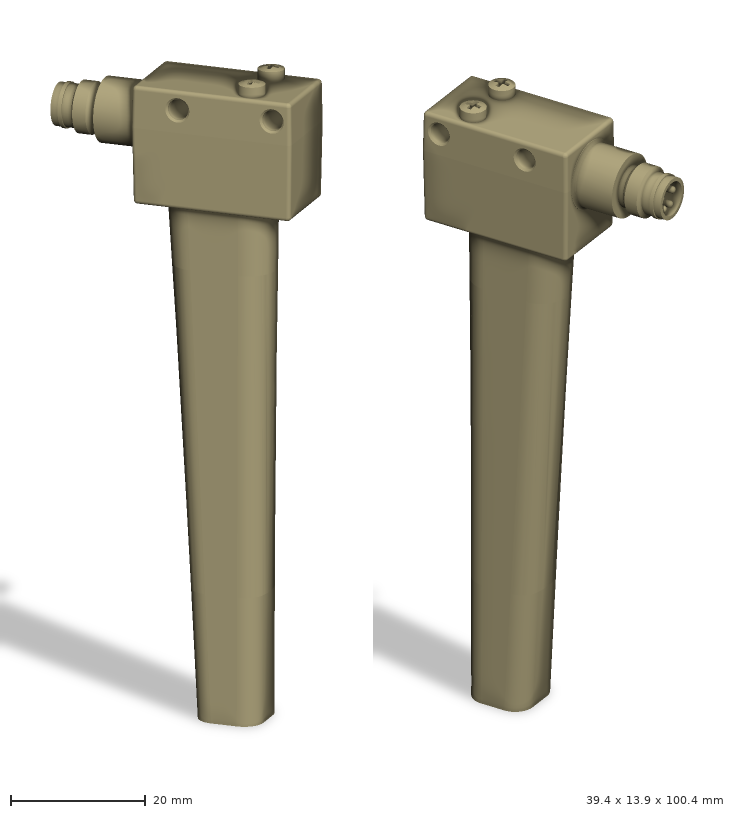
import cadquery as cq
import math


TOTAL_HEIGHT = 100.4

HOUSING_LENGTH = 25.3
HOUSING_WIDTH = 13.9
HOUSING_BOTTOM = 80.1
HOUSING_TOP = 98.4
PARTING_HEIGHT = 92.0
DRAFT_ANGLE = 1.0
HOUSING_FILLET = 0.6

HOLE_DIAMETER = 3.2
HOLE_CHAMFER = 0.3
HOLE_HEIGHT = 95.5
FIRST_HOLE_X = 7.3
HOLE_SPACING = 15.0

SCREW_X = 18.1
SCREW_SPACING = 8.0
SCREW_DIAMETER = 4.0
SCREW_DOME_RADIUS = 5.0
SLOT_LENGTH = 2.5
SLOT_WIDTH = 0.7
SLOT_DEPTH = 0.9

COLLAR_DIAMETER = 10.0
COLLAR_LENGTH = 6.7
COLLAR_FILLET = 0.5

ARM_LENGTH = HOUSING_BOTTOM
ARM_SECTION_HEIGHTS = (0.0, 20.0, 70.0, ARM_LENGTH)
ARM_TOP_WIDTH = 8.9
ARM_END_WIDTH = 10.1
ARM_TOP_FRONT_X = 3.5
ARM_END_FRONT_X = 8.9
ARM_BACK_FLAT_END_X = 16.1
ARM_END_FACE_WIDTH = 4.0
ARM_TOP_FACE_ANGLE = 45.0

PLUG_LENGTH = 7.4
PLUG_RADIUS = 3.3
RIDGE_RADIUS = 3.5
RIDGE_OFFSET = 1.2
RIDGE_LENGTH = 0.6
RING_RADIUS = 4.0
RING_OFFSET = 3.3
RING_LENGTH = 3.2
RING_FRONT_LENGTH = 0.4
RING_BACK_LENGTH = RING_RADIUS - PLUG_RADIUS
SOCKET_DIAMETER = 5.4
SOCKET_DEPTH = 3.0
PIN_DIAMETER = 1.1
PIN_SETBACK = 0.5
PIN_TIP_FILLET = 0.5
UPPER_PIN_Y = 1.6
UPPER_PIN_RISE = 0.5
LOWER_PIN_Y = 0.9
LOWER_PIN_DROP = 1.6


def housing_half(height, end_face):
    """Half of the block, standing on the parting plane and narrowing away from it."""
    return (
        cq.Workplane("XY")
        .workplane(offset=PARTING_HEIGHT)
        .center(HOUSING_LENGTH / 2, 0)
        .rect(HOUSING_LENGTH, HOUSING_WIDTH)
        .extrude(height, taper=DRAFT_ANGLE)
        .edges("not(#Z)")
        .fillet(HOUSING_FILLET)
        .faces(end_face)
        .edges()
        .fillet(HOUSING_FILLET)
    )


def housing_block():
    upper_half = housing_half(HOUSING_TOP - PARTING_HEIGHT, ">Z")
    lower_half = housing_half(HOUSING_BOTTOM - PARTING_HEIGHT, "<Z")
    return upper_half.union(lower_half)


def collar():
    """Round collar with a fillet flaring out onto the housing face and its root inside the housing."""
    radius = COLLAR_DIAMETER / 2
    embedded_x = HOUSING_FILLET
    fillet_middle = COLLAR_FILLET * (1 - math.cos(math.pi / 4))
    return (
        cq.Workplane("XZ", origin=(0, 0, PARTING_HEIGHT))
        .moveTo(-COLLAR_LENGTH, 0)
        .lineTo(-COLLAR_LENGTH, radius)
        .lineTo(-COLLAR_FILLET, radius)
        .threePointArc((-fillet_middle, radius + fillet_middle), (0, radius + COLLAR_FILLET))
        .lineTo(embedded_x, radius + COLLAR_FILLET)
        .lineTo(embedded_x, 0)
        .close()
        .revolve(360, (0, 0, 0), (1, 0, 0))
    )


def cross_hole(x):
    """Cutter for a hole along Y, chamfered at both side faces."""
    bore_radius = HOLE_DIAMETER / 2
    mouth_radius = bore_radius + HOLE_CHAMFER
    draft_setback = (HOLE_HEIGHT - PARTING_HEIGHT) * math.tan(math.radians(DRAFT_ANGLE))
    face_y = HOUSING_WIDTH / 2 - draft_setback
    outside_y = HOUSING_WIDTH / 2
    return (
        cq.Workplane("XY", origin=(x, 0, HOLE_HEIGHT))
        .moveTo(0, -outside_y)
        .lineTo(mouth_radius, -outside_y)
        .lineTo(mouth_radius, -face_y)
        .lineTo(bore_radius, HOLE_CHAMFER - face_y)
        .lineTo(bore_radius, face_y - HOLE_CHAMFER)
        .lineTo(mouth_radius, face_y)
        .lineTo(mouth_radius, outside_y)
        .lineTo(0, outside_y)
        .close()
        .revolve(360, (0, 0, 0), (0, 1, 0))
    )


def screw_head(y):
    """Domed head; its highest points are the inner corners left by the cross slot."""
    radius = SCREW_DIAMETER / 2
    slot_corner_radius = SLOT_WIDTH / math.sqrt(2)
    dome_center_z = TOTAL_HEIGHT - math.sqrt(SCREW_DOME_RADIUS**2 - slot_corner_radius**2)
    head = (
        cq.Workplane("XY", origin=(SCREW_X, y, HOUSING_TOP))
        .circle(radius)
        .extrude(SCREW_DOME_RADIUS)
        .intersect(cq.Workplane("XY", origin=(SCREW_X, y, dome_center_z)).sphere(SCREW_DOME_RADIUS))
    )
    slot_plane = cq.Workplane("XY", origin=(SCREW_X, y, TOTAL_HEIGHT - SLOT_DEPTH))
    slot_along_x = slot_plane.rect(SLOT_LENGTH, SLOT_WIDTH).extrude(SCREW_DOME_RADIUS)
    slot_along_y = slot_plane.rect(SLOT_WIDTH, SLOT_LENGTH).extrude(SCREW_DOME_RADIUS)
    return head.cut(slot_along_x.union(slot_along_y))


def arm_section(height):
    """Closed arm outline: front and back faces, round corners and two flat sides."""
    rise = height / ARM_LENGTH

    def blend(end_value, top_value):
        return end_value + (top_value - end_value) * rise

    half_width = blend(ARM_END_WIDTH, ARM_TOP_WIDTH) / 2
    top_face_width = ARM_TOP_WIDTH * math.sin(math.radians(ARM_TOP_FACE_ANGLE))
    face_half = blend(ARM_END_FACE_WIDTH, top_face_width) / 2
    face_angle = math.radians(ARM_TOP_FACE_ANGLE) * rise
    front_x = blend(ARM_END_FRONT_X, ARM_TOP_FRONT_X)

    sagitta = face_half * math.tan(face_angle / 2)
    corner_radius = (half_width - face_half) / (1 - math.sin(face_angle))
    corner_length = corner_radius * math.cos(face_angle)
    middle_angle = (face_angle + math.pi / 2) / 2
    corner_middle_x = corner_radius * math.cos(middle_angle)
    corner_middle_y = half_width - corner_radius * (1 - math.sin(middle_angle))
    flat_front_x = front_x + sagitta + corner_length
    flat_back_x = ARM_BACK_FLAT_END_X
    back_face_x = flat_back_x + corner_length

    def face_across(outline, bulge_x, edge_x, end_y):
        if sagitta > 0:
            return outline.threePointArc((bulge_x, 0), (edge_x, end_y))
        return outline.lineTo(edge_x, end_y)

    outline = (
        cq.Workplane("XY", origin=(0, 0, height))
        .moveTo(flat_front_x, -half_width)
        .lineTo(flat_back_x, -half_width)
        .threePointArc((flat_back_x + corner_middle_x, -corner_middle_y), (back_face_x, -face_half))
    )
    outline = face_across(outline, back_face_x + sagitta, back_face_x, face_half)
    outline = (
        outline
        .threePointArc((flat_back_x + corner_middle_x, corner_middle_y), (flat_back_x, half_width))
        .lineTo(flat_front_x, half_width)
        .threePointArc((flat_front_x - corner_middle_x, corner_middle_y), (front_x + sagitta, face_half))
    )
    outline = face_across(outline, front_x, front_x + sagitta, -face_half)
    outline = outline.threePointArc(
        (flat_front_x - corner_middle_x, -corner_middle_y), (flat_front_x, -half_width)
    )
    return outline.wire().val()


def arm():
    sections = [arm_section(height) for height in ARM_SECTION_HEIGHTS]
    return cq.Workplane(cq.Solid.makeLoft(sections, True))


def make_housing():
    """Housing with its collar, screw heads and arm, all one solid."""
    body = housing_block().union(collar())
    for hole_x in (FIRST_HOLE_X, FIRST_HOLE_X + HOLE_SPACING):
        body = body.cut(cross_hole(hole_x))
    for side in (-1, 1):
        body = body.union(screw_head(side * SCREW_SPACING / 2))
    return body.union(arm())


def plug_shell():
    """Turned plug with a snap ridge and a cone-sided ring, hollowed from its tip."""
    tip_x = -COLLAR_LENGTH - PLUG_LENGTH
    ridge_x = tip_x + RIDGE_OFFSET
    ring_x = tip_x + RING_OFFSET
    ring_end_x = ring_x + RING_LENGTH
    shell = (
        cq.Workplane("XZ", origin=(0, 0, PARTING_HEIGHT))
        .moveTo(tip_x, 0)
        .lineTo(tip_x, PLUG_RADIUS)
        .lineTo(ridge_x, PLUG_RADIUS)
        .lineTo(ridge_x, RIDGE_RADIUS)
        .lineTo(ridge_x + RIDGE_LENGTH, RIDGE_RADIUS)
        .lineTo(ridge_x + RIDGE_LENGTH, PLUG_RADIUS)
        .lineTo(ring_x, PLUG_RADIUS)
        .lineTo(ring_x + RING_FRONT_LENGTH, RING_RADIUS)
        .lineTo(ring_end_x - RING_BACK_LENGTH, RING_RADIUS)
        .lineTo(ring_end_x, PLUG_RADIUS)
        .lineTo(-COLLAR_LENGTH, PLUG_RADIUS)
        .lineTo(-COLLAR_LENGTH, 0)
        .close()
        .revolve(360, (0, 0, 0), (1, 0, 0))
    )
    socket = (
        cq.Workplane("YZ", origin=(tip_x, 0, PARTING_HEIGHT))
        .circle(SOCKET_DIAMETER / 2)
        .extrude(SOCKET_DEPTH)
    )
    return shell.cut(socket)


def contact_pins():
    """Four round-tipped pins standing on the socket floor."""
    floor_x = -COLLAR_LENGTH - PLUG_LENGTH + SOCKET_DEPTH
    pin_places = [
        (-UPPER_PIN_Y, UPPER_PIN_RISE),
        (UPPER_PIN_Y, UPPER_PIN_RISE),
        (-LOWER_PIN_Y, -LOWER_PIN_DROP),
        (LOWER_PIN_Y, -LOWER_PIN_DROP),
    ]
    return (
        cq.Workplane("YZ", origin=(floor_x, 0, PARTING_HEIGHT))
        .pushPoints(pin_places)
        .circle(PIN_DIAMETER / 2)
        .extrude(PIN_SETBACK - SOCKET_DEPTH)
        .faces("<X")
        .edges()
        .fillet(PIN_TIP_FILLET)
    )


def make_connector():
    return plug_shell().union(contact_pins())


housing = make_housing()
connector = make_connector()

result = cq.Compound.makeCompound([housing.val(), connector.val()])